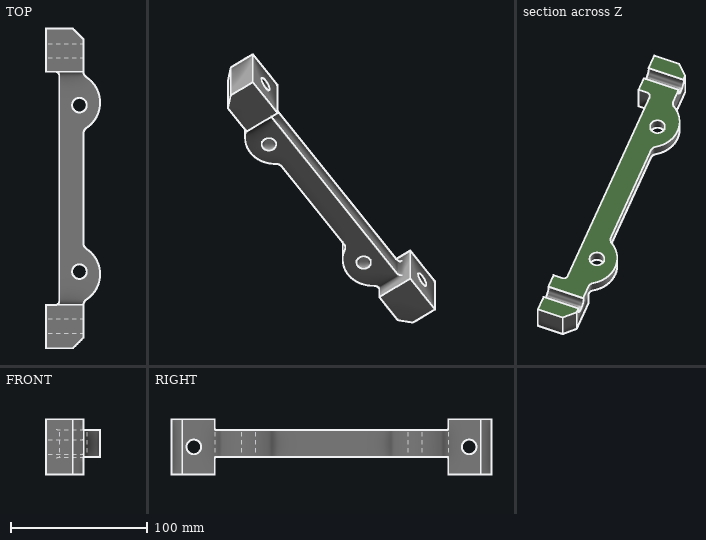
import cadquery as cq
import math

overall_length = 235.0
block_length = 32.0
block_width = 27.7
block_height = 41.0
block_chamfer = 8.0
bolt_hole_diameter = 10.5
block_inner_y = overall_length / 2 - block_length
bolt_hole_y = 101.0

bar_back_x = 9.9
bar_bottom_z = 13.0
bar_height = 20.0
back_fillet = 2.8
face_fillet = 1.0

lobe_radius = 22.3
lobe_tip_x = 40.0
lobe_center_x = lobe_tip_x - lobe_radius
lobe_center_y = 63.0
lobe_blend = 4.7
lobe_hole_x = 24.7
lobe_hole_y = 61.0
lobe_hole_diameter = 10.5


def end_block(side):
    """Block at the +Y (side=1) or -Y (side=-1) end, with its outer +X corner chamfered."""
    outer_y = side * overall_length / 2
    return (
        cq.Workplane("XY")
        .moveTo(0, side * block_inner_y)
        .lineTo(block_width, side * block_inner_y)
        .lineTo(block_width, outer_y - side * block_chamfer)
        .lineTo(block_width - block_chamfer, outer_y)
        .lineTo(0, outer_y)
        .close()
        .extrude(block_height)
    )


def bar_root(side):
    """Flared bar root: a large fillet at the back, small ones above and below."""
    root_y = side * block_inner_y
    midpoint_share = 1 - math.sqrt(0.5)
    back_inset = back_fillet * midpoint_share
    plan = (
        cq.Workplane("XY")
        .moveTo(block_width, root_y)
        .lineTo(bar_back_x - back_fillet, root_y)
        .threePointArc(
            (bar_back_x - back_inset, root_y - side * back_inset),
            (bar_back_x, root_y - side * back_fillet),
        )
        .lineTo(block_width, root_y - side * back_fillet)
        .close()
        .extrude(block_height)
    )
    face_inset = face_fillet * midpoint_share
    bar_top_z = bar_bottom_z + bar_height
    profile = (
        cq.Workplane("YZ")
        .moveTo(root_y, bar_bottom_z - face_fillet)
        .threePointArc(
            (root_y - side * face_inset, bar_bottom_z - face_inset),
            (root_y - side * face_fillet, bar_bottom_z),
        )
        .lineTo(root_y - side * back_fillet, bar_bottom_z)
        .lineTo(root_y - side * back_fillet, bar_top_z)
        .lineTo(root_y - side * face_fillet, bar_top_z)
        .threePointArc(
            (root_y - side * face_inset, bar_top_z + face_inset),
            (root_y, bar_top_z + face_fillet),
        )
        .close()
        .extrude(block_width)
    )
    return plan.intersect(profile)


def lobe(side):
    """Circular lobe blended into the bar's +X face by a concave arc on each flank."""
    center_y = side * lobe_center_y
    blend_x = block_width + lobe_blend
    center_distance = lobe_radius + lobe_blend
    blend_offset = math.sqrt(center_distance**2 - (blend_x - lobe_center_x) ** 2)
    share = lobe_radius / center_distance
    tangent_x = lobe_center_x + (blend_x - lobe_center_x) * share
    tangent_offset = blend_offset * share
    blend_angle = math.atan2(blend_offset, blend_x - lobe_center_x)
    half_angle = blend_angle / 2
    middle_x = blend_x - lobe_blend * math.cos(half_angle)
    middle_offset = blend_offset - lobe_blend * math.sin(half_angle)
    return (
        cq.Workplane("XY", origin=(0, 0, bar_bottom_z))
        .moveTo(block_width, center_y - blend_offset)
        .threePointArc(
            (middle_x, center_y - middle_offset),
            (tangent_x, center_y - tangent_offset),
        )
        .threePointArc((lobe_tip_x, center_y), (tangent_x, center_y + tangent_offset))
        .threePointArc(
            (middle_x, center_y + middle_offset),
            (block_width, center_y + blend_offset),
        )
        .lineTo(bar_back_x, center_y + blend_offset)
        .lineTo(bar_back_x, center_y - blend_offset)
        .close()
        .extrude(bar_height)
    )


def bolt_hole(side):
    """Cutter through a block along X."""
    return (
        cq.Workplane("YZ")
        .center(side * bolt_hole_y, block_height / 2)
        .circle(bolt_hole_diameter / 2)
        .extrude(block_width)
    )


def lobe_hole(side):
    """Cutter through a lobe along Z."""
    return (
        cq.Workplane("XY")
        .center(lobe_hole_x, side * lobe_hole_y)
        .circle(lobe_hole_diameter / 2)
        .extrude(block_height)
    )


result = cq.Workplane("XY").box(
    block_width - bar_back_x, 2 * block_inner_y, bar_height, centered=(False, True, False)
).translate((bar_back_x, 0, bar_bottom_z))

for side in (-1, 1):
    result = result.union(end_block(side)).union(bar_root(side)).union(lobe(side))

for side in (-1, 1):
    result = result.cut(bolt_hole(side)).cut(lobe_hole(side))